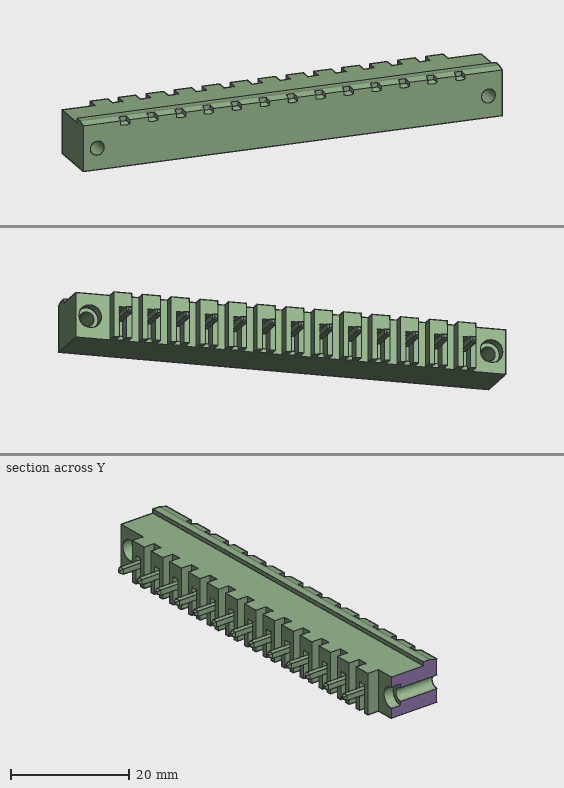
import cadquery as cq
import math

total_depth = 16.2
total_length = 76.2
total_height = 8.6

pin_count = 13
row_length = 60.95
pin_size = 1.0
pin_tip_size = 0.45
pin_taper_length = 0.5
axis_height = 3.9
pin_embed = 0.8

flange_face_x = 6.4
shelf_height = 7.85
ridge_start_x = 13.25
ridge_slope_x = 14.6
ridge_slope_drop = 0.4

tooth_face_x = 4.1
tooth_width = 3.2
gap_floor_x = 6.25

slot_width = 1.3
slot_top_z = 5.3
slot_depth = 2.3
slot_ledge_height = 0.7
slot_ledge_depth = 0.4

notch_start_x = 15.0
notch_depth = 0.85
notch_floor_radius = 2.3
notch_inner_width = 1.3
notch_outer_width = 1.7

hole_diameter = 2.5
counterbore_diameter = 4.0
counterbore_depth = 2.0

end_y = total_length / 2
pitch = row_length / (pin_count - 1)
pin_positions = [index * pitch - row_length / 2 for index in range(pin_count)]
hole_offset = row_length / 2 + pitch


def box(x_range, y_range, z_range):
    """Box spanning the given X, Y and Z ranges."""
    sizes = [high - low for low, high in (x_range, y_range, z_range)]
    corner = (x_range[0], y_range[0], z_range[0])
    return cq.Workplane("XY").box(*sizes, centered=False).translate(corner)


def housing():
    """Long block with the ridge profile, extruded along Y."""
    profile = [
        (flange_face_x, 0),
        (total_depth, 0),
        (total_depth, total_height - ridge_slope_drop),
        (ridge_slope_x, total_height),
        (ridge_start_x, total_height),
        (ridge_start_x, shelf_height),
        (flange_face_x, shelf_height),
    ]
    return cq.Workplane("XZ").polyline(profile).close().extrude(end_y, both=True)


def tooth(y):
    y_range = (y - tooth_width / 2, y + tooth_width / 2)
    return box((tooth_face_x, flange_face_x), y_range, (0, shelf_height))


def slot(y):
    """Slot with a low ledge across the foot of its back wall."""
    back_x = tooth_face_x + slot_depth
    profile = [
        (tooth_face_x, 0),
        (back_x - slot_ledge_depth, 0),
        (back_x - slot_ledge_depth, slot_ledge_height),
        (back_x, slot_ledge_height),
        (back_x, slot_top_z),
        (tooth_face_x, slot_top_z),
    ]
    side = cq.Workplane("XZ").polyline(profile).close().extrude(slot_width / 2, both=True)
    return side.translate((0, y, 0))


def notch(y):
    """Notch that widens toward the mating face; its hollow floor follows the ridge slope."""
    outline = [
        (notch_start_x, y - notch_inner_width / 2),
        (total_depth, y - notch_outer_width / 2),
        (total_depth, y + notch_outer_width / 2),
        (notch_start_x, y + notch_inner_width / 2),
    ]
    plan = cq.Workplane("XY").polyline(outline).close().extrude(total_height)

    slope_run = total_depth - ridge_slope_x
    slope_length = math.hypot(slope_run, ridge_slope_drop)
    slope_angle = math.degrees(math.atan2(ridge_slope_drop, slope_run))
    axis_rise = notch_floor_radius - notch_depth
    hollow = (
        cq.Workplane("YZ")
        .center(0, axis_rise)
        .circle(notch_floor_radius)
        .extrude(slope_length, both=True)
        .rotate((0, 0, 0), (0, 1, 0), slope_angle)
        .translate((total_depth, y, total_height - ridge_slope_drop))
    )
    return plan.intersect(hollow)


def pin(y):
    """Square pin with a tapered tip, rooted in the back wall of its slot."""
    root_x = tooth_face_x + slot_depth + pin_embed
    y_range = (y - pin_size / 2, y + pin_size / 2)
    z_range = (axis_height - pin_size / 2, axis_height + pin_size / 2)
    shank = box((pin_taper_length, root_x), y_range, z_range)
    tip = (
        cq.Workplane("YZ", origin=(0, y, axis_height))
        .rect(pin_tip_size, pin_tip_size)
        .workplane(offset=pin_taper_length)
        .rect(pin_size, pin_size)
        .loft()
    )
    return shank.union(tip)


def mounting_hole(y):
    start = cq.Workplane("YZ", origin=(flange_face_x, y, axis_height))
    bore = start.circle(hole_diameter / 2).extrude(total_depth - flange_face_x)
    counterbore = start.circle(counterbore_diameter / 2).extrude(counterbore_depth)
    return bore.union(counterbore)


result = housing()
for y in pin_positions:
    result = result.union(tooth(y))

for y in pin_positions[:-1]:
    gap_y_range = (y + tooth_width / 2, y + pitch - tooth_width / 2)
    result = result.union(box((gap_floor_x, flange_face_x), gap_y_range, (0, shelf_height)))

for y in pin_positions:
    result = result.cut(slot(y)).cut(notch(y)).union(pin(y))

for y in (-hole_offset, hole_offset):
    result = result.cut(mounting_hole(y))